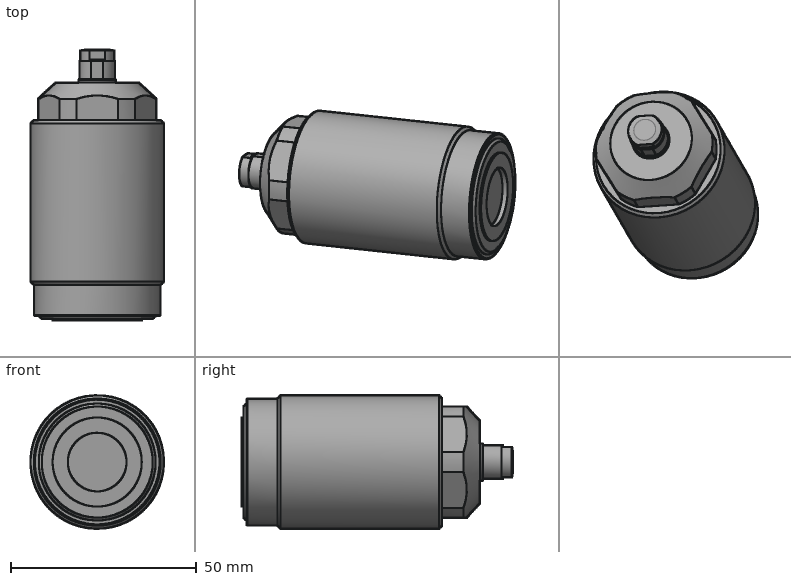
import cadquery as cq
import math

TOTAL_LENGTH = 73.0
FACE_Y = -TOTAL_LENGTH / 2

RIM_BASE_RADIUS = 15.75
RIM_CHAMFER = 0.8
RIM_Y = FACE_Y + 0.45
COLLAR_Y = RIM_Y + RIM_CHAMFER
COLLAR_RADIUS = 17.1
COLLAR_CHAMFER = 0.3
BARREL_RADIUS = 18.0
BARREL_CHAMFER = BARREL_RADIUS - COLLAR_RADIUS
BARREL_Y = FACE_Y + 9.6
BARREL_END_Y = FACE_Y + 54.0
HEX_ACROSS_FLATS = 30.0
HEX_CORNER_RADIUS = 16.0
HEX_LENGTH = 10.1
HEX_END_Y = BARREL_END_Y + HEX_LENGTH
HEX_CONE_LENGTH = 4.4
HEX_END_RADIUS = 11.2

CUP_RADIUS = 12.0
CUP_RECESS_RADIUS = 7.9
CUP_RECESS_DEPTH = 1.5
CUP_FLOOR = 1.0
CUP_LENGTH = CUP_RECESS_DEPTH + CUP_FLOOR

FLANGE_RADIUS = 5.05
FLANGE_LENGTH = 0.9
FLANGE_CHAMFER = 0.2
STEM_RADIUS = 4.8
STEM_ACROSS_FLATS = 9.05
STEM_Y = HEX_END_Y + FLANGE_LENGTH
STEM_LENGTH = 4.95
TIP_RADIUS = 4.6
TIP_ACROSS_FLATS = 8.2
TIP_Y = STEM_Y + STEM_LENGTH
TIP_LENGTH = FACE_Y + TOTAL_LENGTH - TIP_Y
RING_LENGTH = 0.35
TIP_CONE_LENGTH = 0.3
TIP_END_RADIUS = 3.0


def cylinder(radius, start_y, length):
    """Solid cylinder along +Y."""
    return cq.Workplane("XZ", origin=(0, start_y, 0)).circle(radius).extrude(-length)


def turned(profile):
    """Solid of revolution about Y; the profile lists (radius, y) points from axis to axis."""
    return cq.Workplane("XY").polyline(profile).close().revolve(360, (0, 0, 0), (0, 1, 0))


def slab(across_flats, start_y, length):
    """Wide block with flat faces at +Z and -Z, used to cut a pair of flats."""
    width = 2 * BARREL_RADIUS
    return cq.Workplane("XZ", origin=(0, start_y, 0)).rect(width, across_flats).extrude(-length)


def make_front():
    """Rim, collar and barrel of the housing."""
    return turned([
        (0, RIM_Y),
        (RIM_BASE_RADIUS - RIM_CHAMFER, RIM_Y),
        (RIM_BASE_RADIUS, COLLAR_Y),
        (COLLAR_RADIUS - COLLAR_CHAMFER, COLLAR_Y),
        (COLLAR_RADIUS, COLLAR_Y + COLLAR_CHAMFER),
        (COLLAR_RADIUS, BARREL_Y),
        (BARREL_RADIUS, BARREL_Y + BARREL_CHAMFER),
        (BARREL_RADIUS, BARREL_END_Y - BARREL_CHAMFER),
        (BARREL_RADIUS - BARREL_CHAMFER, BARREL_END_Y),
        (0, BARREL_END_Y),
    ])


def make_hex_end():
    """Hexagon with flats at +Z and -Z, its corners turned round and its rear edge coned."""
    across_corners = HEX_ACROSS_FLATS / math.cos(math.pi / 6)
    prism = (
        cq.Workplane("XZ", origin=(0, BARREL_END_Y, 0))
        .polygon(6, across_corners)
        .extrude(-HEX_LENGTH)
    )
    envelope = turned([
        (0, BARREL_END_Y),
        (HEX_CORNER_RADIUS, BARREL_END_Y),
        (HEX_CORNER_RADIUS, HEX_END_Y - HEX_CONE_LENGTH),
        (HEX_END_RADIUS, HEX_END_Y),
        (0, HEX_END_Y),
    ])
    return prism.intersect(envelope)


def make_housing():
    socket = cylinder(CUP_RADIUS, FACE_Y, CUP_LENGTH)
    return make_front().union(make_hex_end()).cut(socket)


def make_sensor_cup():
    recess = cylinder(CUP_RECESS_RADIUS, FACE_Y, CUP_RECESS_DEPTH)
    return cylinder(CUP_RADIUS, FACE_Y, CUP_LENGTH).cut(recess)


def make_connector():
    flange = cylinder(FLANGE_RADIUS, HEX_END_Y, FLANGE_LENGTH).faces(">Y").chamfer(FLANGE_CHAMFER)
    stem = cylinder(STEM_RADIUS, STEM_Y, STEM_LENGTH)
    stem = stem.intersect(slab(STEM_ACROSS_FLATS, STEM_Y, STEM_LENGTH))
    ring = cylinder(TIP_RADIUS, TIP_Y, RING_LENGTH)
    tip_end_y = TIP_Y + TIP_LENGTH
    tip = turned([
        (0, TIP_Y),
        (TIP_RADIUS, TIP_Y),
        (TIP_RADIUS, tip_end_y - TIP_CONE_LENGTH),
        (TIP_END_RADIUS, tip_end_y),
        (0, tip_end_y),
    ])
    tip = tip.intersect(slab(TIP_ACROSS_FLATS, TIP_Y, TIP_LENGTH))
    return flange.union(stem).union(ring).union(tip)


housing = make_housing()
sensor_cup = make_sensor_cup()
connector = make_connector()

result = cq.Compound.makeCompound([housing.val(), sensor_cup.val(), connector.val()])